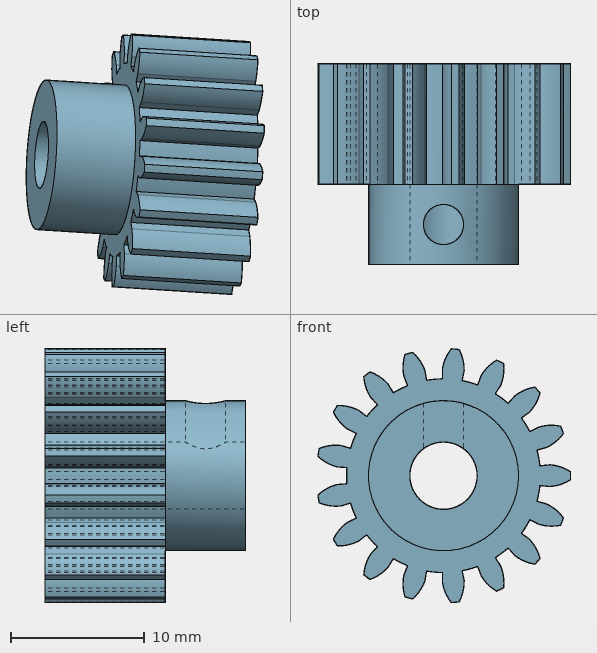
import cadquery as cq
import math

tooth_count = 17
pressure_angle = math.radians(20)
face_width = 9.0
tip_radius = 9.5
root_radius = 7.25
pitch_radius = tip_radius * tooth_count / (tooth_count + 2)
base_radius = pitch_radius * math.cos(pressure_angle)
pitch_tooth_thickness = 1.5

hub_diameter = 11.2
hub_length = 6.0
bore_diameter = 5.0
screw_diameter = 3.0
total_length = face_width + hub_length

axis_plane = cq.Plane(origin=(0, 0, 0), xDir=(1, 0, 0), normal=(0, -1, 0))


def cylinder_along_axis(diameter, length):
    """Cylinder on the gear axis, from the gear back face toward -Y."""
    return cq.Workplane(axis_plane).circle(diameter / 2).extrude(length)


def polar_point(radius, angle):
    return (radius * math.cos(angle), radius * math.sin(angle))


def involute_angle(radius):
    """Polar angle swept by the involute between the base circle and a radius."""
    local_pressure_angle = math.acos(base_radius / radius)
    return math.tan(local_pressure_angle) - local_pressure_angle


base_half_angle = pitch_tooth_thickness / 2 / pitch_radius + involute_angle(pitch_radius)


def flank_points(middle, side):
    """Base, mid-height and tip involute points; side is -1 or +1 about the tooth middle."""
    radii = [base_radius, (base_radius + tip_radius) / 2, tip_radius]
    return [
        polar_point(radius, middle + side * (base_half_angle - involute_angle(radius)))
        for radius in radii
    ]


def gear_rim():
    """Spur gear with arcs for the involute flanks, running radially below the base circle."""
    pitch_angle = 2 * math.pi / tooth_count
    outline = cq.Workplane(axis_plane).moveTo(*polar_point(root_radius, -base_half_angle))
    for index in range(tooth_count):
        middle = index * pitch_angle
        rising_base, rising_mid, rising_tip = flank_points(middle, -1)
        falling_base, falling_mid, falling_tip = flank_points(middle, 1)
        gap_middle = middle + pitch_angle / 2
        gap_end = middle + pitch_angle - base_half_angle
        outline = (
            outline
            .lineTo(*rising_base)
            .threePointArc(rising_mid, rising_tip)
            .threePointArc(polar_point(tip_radius, middle), falling_tip)
            .threePointArc(falling_mid, falling_base)
            .lineTo(*polar_point(root_radius, middle + base_half_angle))
            .threePointArc(polar_point(root_radius, gap_middle), polar_point(root_radius, gap_end))
        )
    return outline.close().extrude(face_width)


def set_screw_hole():
    """Radial hole from the +Z side of the hub into the bore, halfway along the hub."""
    center_y = -(face_width + hub_length / 2)
    return (
        cq.Workplane("XY")
        .center(0, center_y)
        .circle(screw_diameter / 2)
        .extrude(hub_diameter)
    )


result = (
    gear_rim()
    .union(cylinder_along_axis(hub_diameter, total_length))
    .cut(cylinder_along_axis(bore_diameter, total_length))
    .cut(set_screw_hole())
)